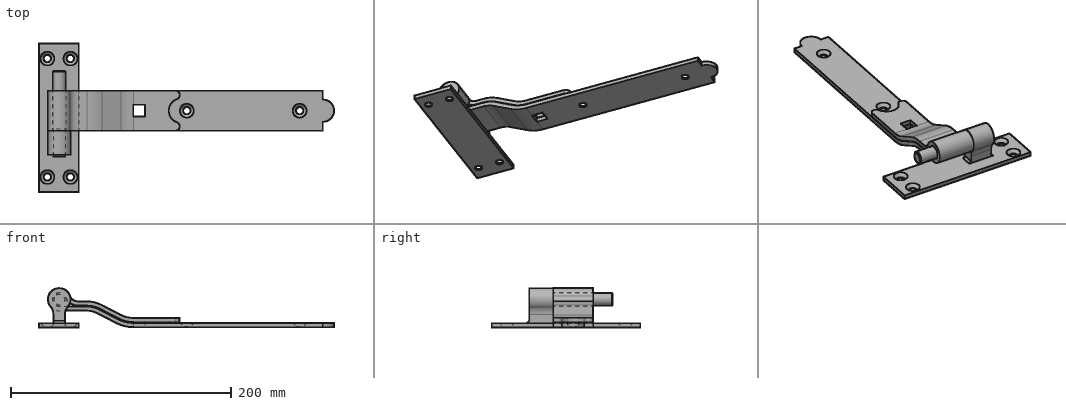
import cadquery as cq
import math

plate_length = 135.0
plate_width = 36.5
sheet = 4.0
plate_hole_spacing_x = 21.0
plate_hole_spacing_y = 107.7

screw_hole_dia = 6.5
countersink_dia = 12.5
countersink_angle = 90

overall_height = 36.0
knuckle_dia = 20.7
knuckle_radius = knuckle_dia / 2
knuckle_x = 18.5
knuckle_z = overall_height - knuckle_radius
hook_front_y = -33.5
neck_width = 10.7
neck_blend_radius = 10.7
weld_length = 2.0
weld_height = 2.1
pin_radius = 6.0
pin_end_y = 42.7
pin_chamfer = 1.0

strap_width = plate_width
strap_front_y = -11.8
strap_back_y = strap_front_y + strap_width
strap_center_y = strap_front_y + strap_width / 2
layer_gap = 0.5
stack = 2 * sheet + layer_gap
strap_drop = 15.0
bend_angle = 27.3
crest_radius = 29.5
foot_radius = 25.0
foot_end_x = 86.0
upper_end_x = 128.0
upper_end_notch_depth = 10.0
upper_end_lobe_radius = 4.0
strap_shoulder_x = 258.3
strap_tip_x = 268.5
strap_tip_radius = strap_tip_x - strap_shoulder_x
strap_hole_xs = (134.5, 237.0)
square_hole_size = 10.5
square_hole_x = foot_end_x + square_hole_size / 2

touching_distance = 0.003

eye_bottom_z = knuckle_z - knuckle_radius
strap_bottom_z = eye_bottom_z - strap_drop
upper_top_z = eye_bottom_z + stack
bend = math.radians(bend_angle)
ramp_length = (strap_drop - (crest_radius + foot_radius) * (1 - math.cos(bend))) / math.sin(bend)
crest_x = foot_end_x - (crest_radius + foot_radius) * math.sin(bend) - ramp_length * math.cos(bend)
crest_z = upper_top_z - crest_radius
foot_z = strap_bottom_z + stack + foot_radius

fold_end_x = 35.7
fold_run = fold_end_x - knuckle_x
eye_above_top = knuckle_z - upper_top_z
fold_radius = (fold_run**2 + eye_above_top**2 - knuckle_radius**2) / (2 * (knuckle_radius + eye_above_top))
fold_z = upper_top_z + fold_radius
fold_angle = math.degrees(math.atan2(fold_z - knuckle_z, fold_run))


def countersunk(body, top_z, points):
    """Cut countersunk screw holes at the points, sunk from the height top_z."""
    return (
        body.copyWorkplane(cq.Workplane("XY", origin=(0, 0, top_z)))
        .pushPoints(points)
        .cskHole(screw_hole_dia, countersink_dia, countersink_angle)
    )


def make_plate():
    plate = cq.Workplane("XY").box(plate_width, plate_length, sheet, centered=(False, True, False))
    points = [
        (plate_width / 2 + i * plate_hole_spacing_x / 2, j * plate_hole_spacing_y / 2)
        for i in (-1, 1)
        for j in (-1, 1)
    ]
    return countersunk(plate, sheet, points)


def xz_plane(y):
    """Sketch plane in X and Z whose positive extrusion runs towards -Y."""
    return cq.Workplane("XZ", origin=(0, y, 0))


def make_neck(length):
    """Neck whose sides flare in arcs tangent to the knuckle."""
    half = neck_width / 2
    reach = knuckle_radius + neck_blend_radius
    blend_x = half + neck_blend_radius
    blend_z = knuckle_z - math.sqrt(reach**2 - blend_x**2)
    touch_x = blend_x * knuckle_radius / reach
    touch_z = knuckle_z - (knuckle_z - blend_z) * knuckle_radius / reach
    mid_angle = (math.pi + math.atan2(touch_z - blend_z, touch_x - blend_x)) / 2
    mid_x = blend_x + neck_blend_radius * math.cos(mid_angle)
    mid_z = blend_z + neck_blend_radius * math.sin(mid_angle)
    return (
        xz_plane(strap_front_y)
        .moveTo(knuckle_x - half, sheet)
        .lineTo(knuckle_x + half, sheet)
        .lineTo(knuckle_x + half, blend_z)
        .threePointArc((knuckle_x + mid_x, mid_z), (knuckle_x + touch_x, touch_z))
        .lineTo(knuckle_x, knuckle_z)
        .lineTo(knuckle_x - touch_x, touch_z)
        .threePointArc((knuckle_x - mid_x, mid_z), (knuckle_x - half, blend_z))
        .close()
        .extrude(length)
    )


def make_weld(y, outward):
    """Triangular weld bead at the foot of one end of the neck."""
    return (
        cq.Workplane("YZ", origin=(knuckle_x, 0, 0))
        .polyline([(y, sheet), (y + outward * weld_length, sheet), (y, sheet + weld_height)])
        .close()
        .extrude(neck_width / 2, both=True)
    )


def make_hook():
    length = strap_front_y - hook_front_y
    knuckle = xz_plane(strap_front_y).center(knuckle_x, knuckle_z).circle(knuckle_radius).extrude(length)
    pin = (
        xz_plane(pin_end_y)
        .center(knuckle_x, knuckle_z)
        .circle(pin_radius)
        .extrude(pin_end_y - strap_front_y)
        .faces(">Y")
        .chamfer(pin_chamfer)
    )
    hook = knuckle.union(make_neck(length)).union(pin)
    return hook.union(make_weld(hook_front_y, -1)).union(make_weld(strap_front_y, 1))


def polar(x, z, radius, angle):
    a = math.radians(angle)
    return (x + radius * math.cos(a), z + radius * math.sin(a))


def strip_arcs(depth):
    """Bends of the strip from tip to free end, at a depth below its outer face.

    Each bend is (centre x, centre z, radius, start angle, end angle).
    """
    return [
        (foot_end_x, foot_z, foot_radius + stack - depth, 270, 270 - bend_angle),
        (crest_x, crest_z, crest_radius - stack + depth, 90 - bend_angle, 90),
        (knuckle_x, knuckle_z, knuckle_radius - depth, 270, fold_angle),
        (fold_end_x, fold_z, fold_radius + depth, 180 + fold_angle, 270),
        (crest_x, crest_z, crest_radius - depth, 90, 90 - bend_angle),
        (foot_end_x, foot_z, foot_radius + depth, 270 - bend_angle, 270),
    ]


def trace(outline, arcs):
    """Draw the arcs in turn, with a straight line up to each one that does not start on the last."""
    here = None
    for x, z, radius, start, end in arcs:
        begin = polar(x, z, radius, start)
        if here is None or math.dist(here, begin) > touching_distance:
            outline = outline.lineTo(*begin)
        here = polar(x, z, radius, end)
        outline = outline.threePointArc(polar(x, z, radius, (start + end) / 2), here)
    return outline


def make_strip():
    """Full-width bent strip."""
    inner_back = [(x, z, r, end, start) for x, z, r, start, end in reversed(strip_arcs(sheet))]
    outline = xz_plane(strap_back_y).moveTo(strap_tip_x, strap_bottom_z)
    outline = trace(outline, strip_arcs(0)).lineTo(upper_end_x, strap_bottom_z + stack)
    outline = outline.lineTo(upper_end_x, strap_bottom_z + stack - sheet)
    outline = trace(outline, inner_back).lineTo(strap_tip_x, strap_bottom_z + sheet)
    return outline.close().extrude(strap_width)


def shape_upper_end(strip):
    """Free end of the upper layer: a round lobe at each side, flowing into a round notch between."""
    lobe = upper_end_lobe_radius
    depth = upper_end_notch_depth
    lobe_x = upper_end_x - lobe
    lobe_y = strap_width / 2 - lobe
    notch_root_x = upper_end_x - depth
    notch = (lobe_y**2 + (depth - lobe) ** 2 - lobe**2) / (2 * depth)
    notch_x = notch_root_x + notch
    share = notch / (notch + lobe)
    join_x = notch_x + (lobe_x - notch_x) * share
    join_y = lobe_y * share

    base_z = strap_bottom_z + sheet + layer_gap
    plane = cq.Workplane("XY", origin=(0, strap_center_y, base_z))
    zone_x = notch_root_x - lobe
    zone_length = upper_end_x - zone_x
    end_zone = plane.center(zone_x + zone_length / 2, 0).rect(zone_length, strap_width).extrude(sheet)
    lobed_end = (
        plane.moveTo(zone_x, -strap_width / 2)
        .lineTo(lobe_x, -strap_width / 2)
        .threePointArc((upper_end_x, -lobe_y), (join_x, -join_y))
        .threePointArc((notch_root_x, 0), (join_x, join_y))
        .threePointArc((upper_end_x, lobe_y), (lobe_x, strap_width / 2))
        .lineTo(zone_x, strap_width / 2)
        .close()
        .extrude(sheet)
    )
    return strip.cut(end_zone.cut(lobed_end))


def shape_tip(strip):
    """Narrow the far end to a half-round tongue between square shoulders."""
    tip = cq.Workplane("XY", origin=(strap_shoulder_x, strap_center_y, strap_bottom_z))
    end_zone = tip.box(strap_tip_radius, strap_width, sheet, centered=(False, True, False))
    return strip.cut(end_zone.cut(tip.circle(strap_tip_radius).extrude(sheet)))


def make_strap():
    strap = shape_tip(shape_upper_end(make_strip()))
    square_hole = cq.Workplane("XY", origin=(square_hole_x, strap_center_y, strap_bottom_z)).box(
        square_hole_size, square_hole_size, stack, centered=(True, True, False)
    )
    points = [(x, strap_center_y) for x in strap_hole_xs]
    return countersunk(strap.cut(square_hole), strap_bottom_z + sheet, points)


plate = make_plate()
hook = make_hook()
strap = make_strap()

result = cq.Compound.makeCompound([plate.val(), hook.val(), strap.val()])